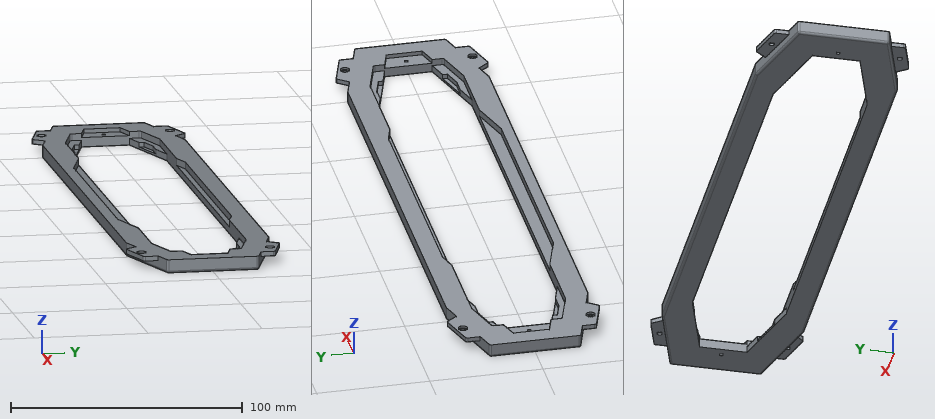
import cadquery as cq
import math

length = 269.69
thickness = 6.0
frame_width = 62.5
end_flat_width = 40.1
corner_angle = 17.0
corner_radius = 1.0
bottom_edge_radius = 1.0
corner_slope = math.tan(math.radians(corner_angle))

tab_tip_y = 33.685
tab_thickness = 2.0
tab_end_x = 126.6
tab_tip_x = 110.5
tab_root_x = 106.7
screw_x = 117.6
screw_y = 28.2
screw_diameter = 2.2
counterbore_diameter = 4.0
counterbore_depth = 1.0

opening_half_length = 118.3
opening_half_width = 20.7
opening_end_half_width = 15.5
ledge_depth = 3.0

taper_half_length = 126.6
taper_end_half_width = 7.95
end_pocket_depth = 1.8
pin_hole_x = 122.5
pin_hole_diameter = 1.6

corner_pocket_half_length = 109.5
corner_pocket_half_width = 17.7
corner_pocket_end_half_width = 15.25
corner_pocket_depth = 5.0

recess_depth = 3.0
back_recess_half_length = 54.1
back_recess_y = 23.1
front_recess_half_length = 51.9
front_recess_y = 26.3


def octagon(half_length, half_width, end_half_width):
    """Octagon with flat ends and corner edges running at the corner angle."""
    shoulder_x = half_length - (half_width - end_half_width) / corner_slope
    quarter = [(half_length, end_half_width), (shoulder_x, half_width)]
    upper = quarter + [(-x, y) for x, y in reversed(quarter)]
    lower = [(-x, -y) for x, y in upper]
    return upper + lower


def prism(points, bottom, top):
    """Extrude a closed outline between two heights."""
    return cq.Workplane("XY").workplane(offset=bottom).polyline(points).close().extrude(top - bottom)


def make_tab(side_x, side_y):
    """Thin tab beside one corner edge, its rounded outer edge parallel to that corner."""
    root_y = end_flat_width / 2 + (length / 2 - tab_root_x) * corner_slope
    end_y = tab_tip_y - (tab_end_x - tab_tip_x) * corner_slope
    inner_y = end_flat_width / 2
    points = [
        (tab_end_x, inner_y),
        (tab_end_x, end_y),
        (tab_tip_x, tab_tip_y),
        (tab_root_x, root_y),
        (tab_root_x, inner_y),
    ]
    tab = prism(points, thickness - tab_thickness, thickness)
    for x, y in ((tab_end_x, end_y), (tab_tip_x, tab_tip_y)):
        corner = cq.selectors.NearestToPointSelector((x, y, thickness - tab_thickness / 2))
        tab = tab.edges("|Z").edges(corner).fillet(corner_radius)
    if side_x < 0:
        tab = tab.mirror("YZ")
    if side_y < 0:
        tab = tab.mirror("XZ")
    return tab


def round_ends(body):
    """Round the four upright edges beside the flat ends of an octagonal prism."""
    return body.faces("<X or >X").edges("|Z").fillet(corner_radius)


def cut_openings(body):
    opening = octagon(opening_half_length, opening_half_width, opening_end_half_width)
    taper = octagon(taper_half_length, opening_half_width, taper_end_half_width)
    corner_pocket = octagon(
        corner_pocket_half_length, corner_pocket_half_width, corner_pocket_end_half_width
    )
    through = round_ends(prism(opening, 0, thickness)).intersect(prism(taper, 0, thickness))
    body = body.cut(through)
    body = body.cut(round_ends(prism(opening, thickness - ledge_depth, thickness)))
    body = body.cut(prism(taper, thickness - end_pocket_depth, thickness))
    return body.cut(prism(corner_pocket, thickness - corner_pocket_depth, thickness))


def rail_recess(half_length, outer_y, side_y):
    """Trapezoid recess that opens into the frame opening along one rail."""
    inner_y = opening_half_width / 2
    run = (outer_y - inner_y) / corner_slope
    points = [
        (-half_length - run, side_y * inner_y),
        (-half_length, side_y * outer_y),
        (half_length, side_y * outer_y),
        (half_length + run, side_y * inner_y),
    ]
    return prism(points, thickness - recess_depth, thickness)


def hole(x, y, diameter, depth):
    return cq.Workplane("XY", origin=(x, y, thickness - depth)).circle(diameter / 2).extrude(depth)


frame = octagon(length / 2, frame_width / 2, end_flat_width / 2)
result = round_ends(prism(frame, 0, thickness)).faces("<Z").edges().fillet(bottom_edge_radius)
for side_x in (-1, 1):
    for side_y in (-1, 1):
        result = result.union(make_tab(side_x, side_y))

result = cut_openings(result)
result = result.cut(rail_recess(back_recess_half_length, back_recess_y, 1))
result = result.cut(rail_recess(front_recess_half_length, front_recess_y, -1))

for side_x in (-1, 1):
    result = result.cut(hole(side_x * pin_hole_x, 0, pin_hole_diameter, thickness))
    for side_y in (-1, 1):
        x = side_x * screw_x
        y = side_y * screw_y
        result = result.cut(hole(x, y, screw_diameter, thickness))
        result = result.cut(hole(x, y, counterbore_diameter, counterbore_depth))